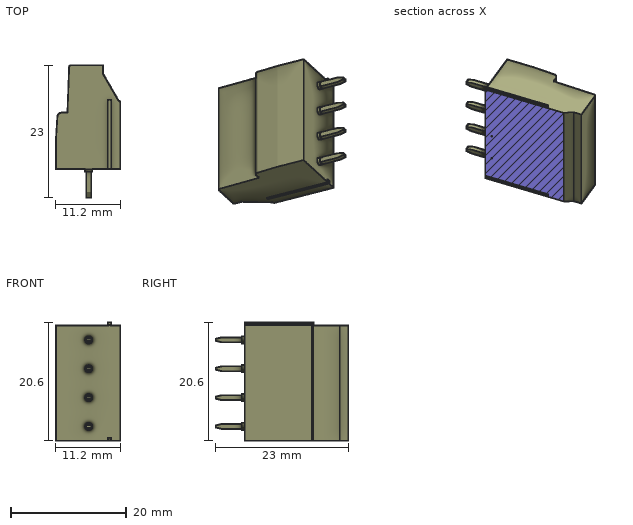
import cadquery as cq
import math


pole_count = 4
pitch = 5.0
housing_width = 11.2
housing_depth = 18.0
housing_height = pole_count * pitch

wall_bend_y = 5.1
shoulder_lean = 0.3
shoulder_y = 9.8
shoulder_radius = 0.8
upper_wall_x = 2.0
upper_wall_lean = 0.3
back_corner_radius = 0.35

back_right_x = 8.2
slope_top_y = 16.5
slope_bottom_x = 10.85
slope_angle = 60.0
lip_drop = 0.25

dovetail_x = 9.3
dovetail_length = 12.0
dovetail_head_width = 0.68
dovetail_neck_width = 0.4
dovetail_height = 0.57
dovetail_head_height = 0.27
dovetail_neck_height = 0.15

pin_x = 5.7
pin_length = 5.0
pin_size = 0.9
pin_tip_length = 1.05
pin_tip_height = 0.38
collar_diameter = 1.3
collar_length = 0.5


def make_housing():
    """Profiled block with its rounded shoulder and back corner."""
    slope_run = slope_bottom_x - back_right_x
    slope_bottom_y = slope_top_y - slope_run * math.tan(math.radians(slope_angle))
    outline = [
        (0, 0),
        (housing_width, 0),
        (housing_width, slope_bottom_y - lip_drop),
        (slope_bottom_x, slope_bottom_y),
        (back_right_x, slope_top_y),
        (back_right_x, housing_depth),
        (upper_wall_x + upper_wall_lean, housing_depth),
        (upper_wall_x, shoulder_y),
        (shoulder_lean, shoulder_y),
        (0, wall_bend_y),
    ]
    block = cq.Workplane("XY").polyline(outline).close().extrude(housing_height)
    shoulder_edge = cq.selectors.NearestToPointSelector((shoulder_lean, shoulder_y, housing_height / 2))
    block = block.edges(shoulder_edge).fillet(shoulder_radius)
    back_corner = (upper_wall_x + upper_wall_lean, housing_depth, housing_height / 2)
    return block.edges(cq.selectors.NearestToPointSelector(back_corner)).fillet(back_corner_radius)


def make_dovetail(base_z):
    """Dovetail bar standing on base_z, running back from the pin face."""
    neck = dovetail_neck_width / 2
    head = dovetail_head_width / 2
    neck_top_z = base_z + dovetail_neck_height
    head_bottom_z = base_z + dovetail_height - dovetail_head_height
    head_top_z = base_z + dovetail_height
    section = [
        (dovetail_x - neck, base_z),
        (dovetail_x - neck, neck_top_z),
        (dovetail_x - head, head_bottom_z),
        (dovetail_x - head, head_top_z),
        (dovetail_x + head, head_top_z),
        (dovetail_x + head, head_bottom_z),
        (dovetail_x + neck, neck_top_z),
        (dovetail_x + neck, base_z),
    ]
    return cq.Workplane("XZ").polyline(section).close().extrude(-dovetail_length)


def make_pin(pin_z):
    """Square pin with a wedge tip and a round collar at the housing face."""
    half_size = pin_size / 2
    half_tip = pin_tip_height / 2
    taper_y = pin_tip_length - pin_length
    side = [
        (0, pin_z - half_size),
        (taper_y, pin_z - half_size),
        (-pin_length, pin_z - half_tip),
        (-pin_length, pin_z + half_tip),
        (taper_y, pin_z + half_size),
        (0, pin_z + half_size),
    ]
    blade = cq.Workplane("YZ", origin=(pin_x - half_size, 0, 0)).polyline(side).close().extrude(pin_size)
    collar = cq.Workplane("XZ").center(pin_x, pin_z).circle(collar_diameter / 2).extrude(collar_length)
    return blade.union(collar)


result = make_housing()
result = result.cut(make_dovetail(0))
result = result.union(make_dovetail(housing_height))
for pole in range(pole_count):
    result = result.union(make_pin((pole + 0.5) * pitch))